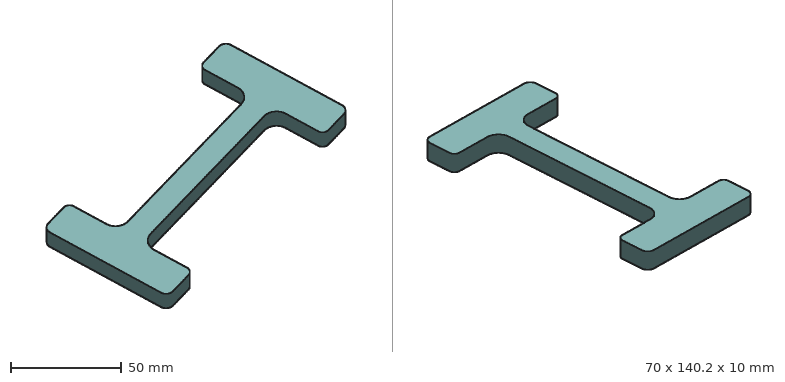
import cadquery as cq

length = 140.2
width = 70.0
thickness = 10.0

flange_depth = 19.2
web_width = 12.8
outer_corner_radius = 3.9
inner_corner_radius = 3.2
web_fillet_radius = 7.0


def flange(side):
    """End bar; side is +1 for the +Y end and -1 for the -Y end."""
    center_y = side * (length - flange_depth) / 2
    outer_edges = ">Y" if side > 0 else "<Y"
    inner_edges = "<Y" if side > 0 else ">Y"
    return (
        cq.Workplane("XY")
        .center(0, center_y)
        .rect(width, flange_depth)
        .extrude(thickness)
        .edges("|Z").edges(outer_edges).fillet(outer_corner_radius)
        .edges("|Z").edges(inner_edges).fillet(inner_corner_radius)
    )


web_length = length - 2 * flange_depth
web = cq.Workplane("XY").rect(web_width, web_length).extrude(thickness)
body = web.union(flange(1)).union(flange(-1))

junction_box = cq.selectors.BoxSelector(
    (-web_width, -length / 2, -thickness),
    (web_width, length / 2, 2 * thickness),
)
result = body.edges("|Z").edges(junction_box).fillet(web_fillet_radius)